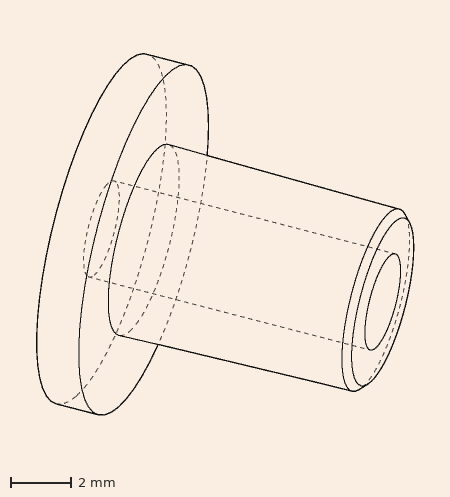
import cadquery as cq

total_length = 10.0
flange_diameter = 12.0
flange_thickness = 1.5
bore_diameter = 3.3

shank_root_diameter = 6.55
shank_tip_diameter = 6.25
tip_chamfer = 0.25


def turned_body():
    """Solid of revolution: flange, tapered shank and tip chamfer."""
    flange_radius = flange_diameter / 2
    root_radius = shank_root_diameter / 2
    tip_radius = shank_tip_diameter / 2
    profile = (
        cq.Workplane("XY")
        .moveTo(0, 0)
        .lineTo(0, flange_radius)
        .lineTo(flange_thickness, flange_radius)
        .lineTo(flange_thickness, root_radius)
        .lineTo(total_length - tip_chamfer, tip_radius)
        .lineTo(total_length, tip_radius - tip_chamfer)
        .lineTo(total_length, 0)
        .close()
    )
    return profile.revolve(360, (0, 0, 0), (1, 0, 0))


def bore():
    """Through hole along the axis."""
    return cq.Workplane("YZ").circle(bore_diameter / 2).extrude(total_length)


result = turned_body().cut(bore())